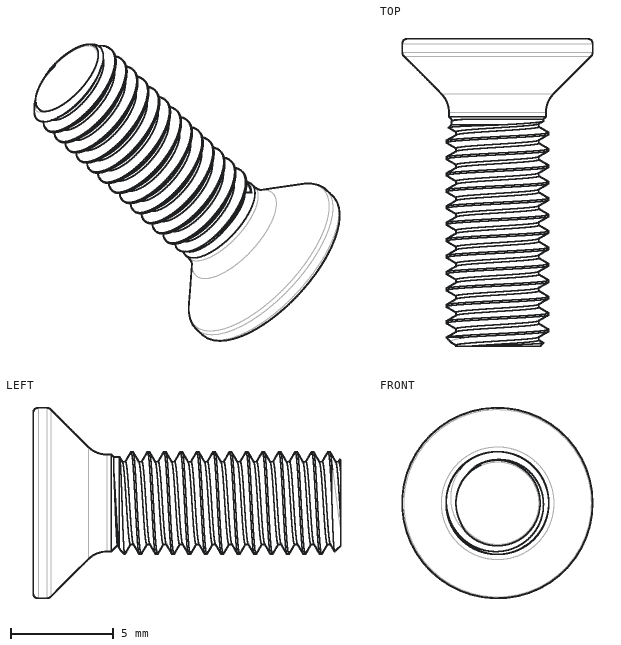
import cadquery as cq
import math


length = 15.0
head_radius = 4.65
top_round = 0.24
rim_round = 0.27
cone_reach = 5.43
neck_radius = 2.37
neck_round = 1.29
neck_end = 3.81

crest_radius = 2.5
root_radius = 2.02
pitch = 9.6 / 12
crest_width = 0.09
half_angle = math.radians(30)
root_overlap = 0.06
turns = 15
turns_past_tip = 2
first_crest = 14.22
runout_radius = 2.25
runout_depth = 4.2
tip_radius = 2.08
tip_chamfer = 0.45

hollow_radius = 2.01
hollow_depth = 0.12


def make_body():
    """Head, filleted neck and plain thread core, as one revolved profile."""
    diagonal = math.sqrt(0.5)

    rim_center_radius = head_radius - rim_round
    rim_center_depth = cone_reach - rim_center_radius - rim_round / diagonal
    rim_end = (rim_center_radius + rim_round * diagonal, -rim_center_depth - rim_round * diagonal)

    neck_center_radius = neck_radius + neck_round
    neck_center_depth = cone_reach - neck_center_radius + neck_round / diagonal
    neck_start = (neck_center_radius - neck_round * diagonal, -neck_center_depth + neck_round * diagonal)

    def arc_middle(center_radius, center_depth, offset, angle):
        return (
            center_radius + offset * math.cos(angle),
            -center_depth - offset * math.sin(angle),
        )

    eighth_middle = math.pi / 8
    rim_middle = arc_middle(rim_center_radius, rim_center_depth, rim_round, eighth_middle)
    neck_middle = arc_middle(neck_center_radius, neck_center_depth, -neck_round, eighth_middle)
    top_middle = arc_middle(head_radius - top_round, top_round, top_round, -math.pi / 4)
    core_start = neck_end + neck_radius - root_radius

    return (
        cq.Workplane("XZ")
        .moveTo(0, 0)
        .lineTo(head_radius - top_round, 0)
        .threePointArc(top_middle, (head_radius, -top_round))
        .lineTo(head_radius, -rim_center_depth)
        .threePointArc(rim_middle, rim_end)
        .lineTo(*neck_start)
        .threePointArc(neck_middle, (neck_radius, -neck_center_depth))
        .lineTo(neck_radius, -neck_end)
        .lineTo(root_radius, -core_start)
        .lineTo(root_radius, -length)
        .lineTo(0, -length)
        .close()
        .revolve(360, (0, 0), (0, 1))
    )


def make_thread():
    """Right-handed helical ridge, trimmed at the neck and chamfered at the tip."""
    inner_radius = root_radius - root_overlap
    half_crest = crest_width / 2
    half_base = half_crest + (crest_radius - inner_radius) * math.tan(half_angle)
    start = -first_crest - turns_past_tip * pitch

    def make_edge(radius, height):
        base = cq.Vector(0, 0, start + height)
        return cq.Wire.makeHelix(pitch, turns * pitch, radius, base)

    edges = [
        make_edge(inner_radius, -half_base),
        make_edge(crest_radius, -half_crest),
        make_edge(crest_radius, half_crest),
        make_edge(inner_radius, half_base),
    ]
    faces = []
    for edge, next_edge in zip(edges, edges[1:] + edges[:1]):
        faces += cq.Face.makeRuledSurface(edge, next_edge).Faces()
    for end in (0, 1):
        corners = [edge.positionAt(end) for edge in edges]
        faces.append(cq.Face.makeFromWires(cq.Wire.makePolygon(corners, close=True)))
    ridge = cq.Solid.makeSolid(cq.Shell.makeShell(faces)).fix()

    clearance = 0.15
    envelope_radius = crest_radius + clearance
    chamfer_slope = (crest_radius - tip_radius) / tip_chamfer
    chamfer_height = (envelope_radius - tip_radius) / chamfer_slope
    envelope = (
        cq.Workplane("XZ")
        .polyline(
            [
                (0, -neck_end),
                (runout_radius, -neck_end),
                (runout_radius, -runout_depth),
                (envelope_radius, -runout_depth - (envelope_radius - runout_radius)),
                (envelope_radius, -length + chamfer_height),
                (tip_radius, -length),
                (0, -length),
            ]
        )
        .close()
        .revolve(360, (0, 0), (0, 1))
    )
    return cq.Workplane(obj=ridge).intersect(envelope)


def make_tip_hollow():
    """Cone that dishes the flat end of the screw."""
    return (
        cq.Workplane("XZ")
        .polyline([(0, -length), (hollow_radius, -length), (0, -length + hollow_depth)])
        .close()
        .revolve(360, (0, 0), (0, 1))
    )


screw = make_body().union(make_thread()).cut(make_tip_hollow())
result = screw.rotate((0, 0, 0), (1, 0, 0), -90)